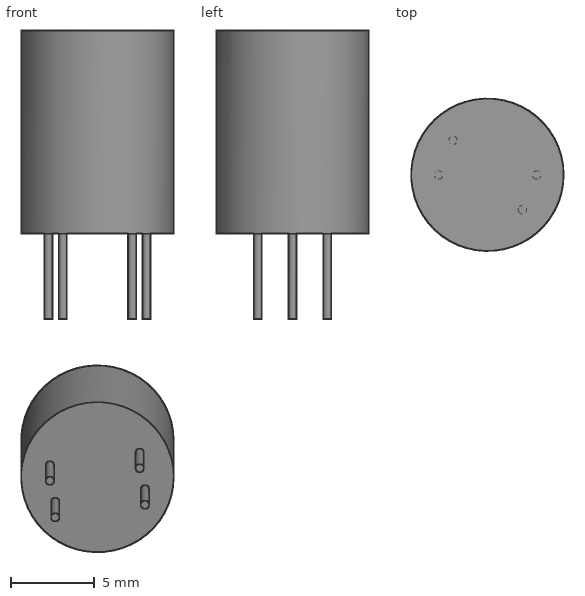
import cadquery as cq
import math

total_height = 17.27
can_diameter = 9.14
pin_diameter = 0.5
pin_length = 5.11
can_height = total_height - pin_length

pin_circle_radius = 2.94
pin_angles = [0, 135, 180, 315]


def make_can():
    """Plain cylindrical can with its flat underside at Z = 0."""
    return cq.Workplane("XY").circle(can_diameter / 2).extrude(can_height)


def make_pin(angle):
    """Round pin hanging from the underside of the can at an angle on the pin circle."""
    x = pin_circle_radius * math.cos(math.radians(angle))
    y = pin_circle_radius * math.sin(math.radians(angle))
    return cq.Workplane("XY").center(x, y).circle(pin_diameter / 2).extrude(-pin_length)


can = make_can()
pins = [make_pin(angle) for angle in pin_angles]

result = cq.Compound.makeCompound([can.val(), *[pin.val() for pin in pins]])